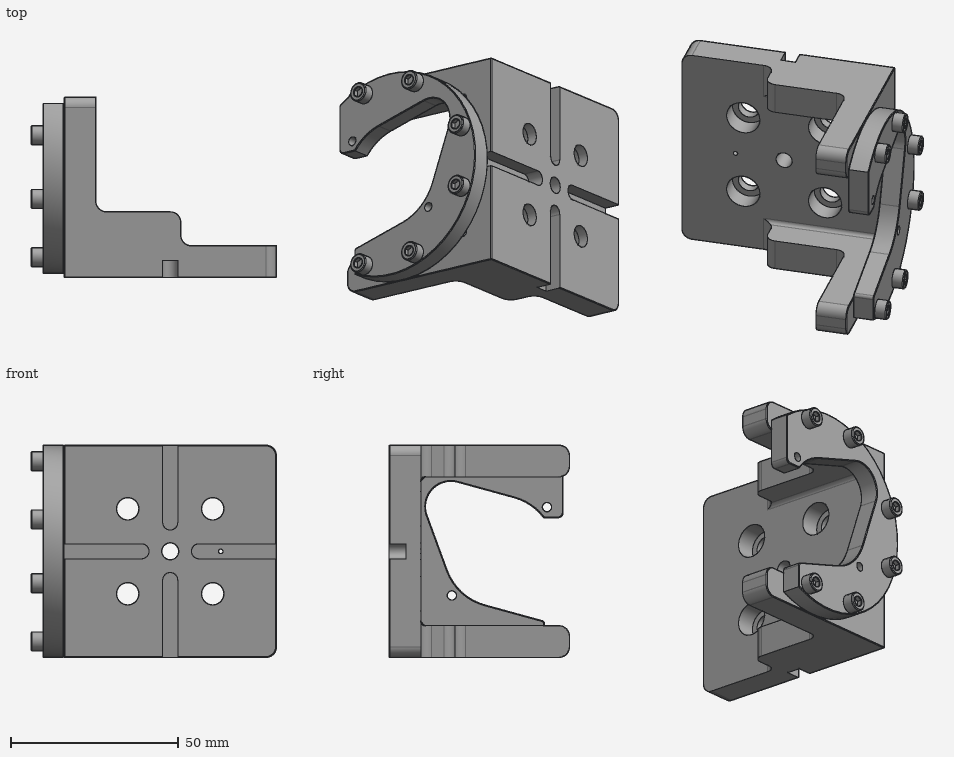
import cadquery as cq
import math

INCH = 25.4

bracket_size = 2.5 * INCH
bracket_depth = 2.125 * INCH
wall = 0.375 * INCH
step_x = 1.375 * INCH
step_y = 0.775 * INCH
corner_radius = 0.125 * INCH
pocket_corner_radius = 1.2
edge_chamfer = 0.25
mid_z = bracket_size / 2
center_x = bracket_size / 2

bolt_hole_diameter = 6.6
bolt_hole_offset = 0.5 * INCH
bolt_ledge_thickness = 0.125 * INCH
counterbore_diameter = 10.3
center_hole_diameter = 5.0
slot_width = 4.5
slot_depth = 0.2 * INCH
slot_tip_distance = 0.25 * INCH
pin_hole_diameter = 1.3
pin_hole_offset = 15.1

hook_thickness = 0.25 * INCH
disc_radius = 1.25 * INCH
disc_y = 1.3 * INCH
hook_upper_y = 2.05 * INCH
hook_lower_y = 46.5
hook_tip_z = 41.75
hook_upper_corner_radius = 1.6
hook_lower_corner_radius = 1.0
bore_radius = 16.6
relief_radius = 7.58
relief_distance = 19.7
cutout_angle = 42.6
hook_hole_diameter = 2.7
hook_hole_distance = 19.4
hook_hole_angle = -42.9

screw_circle_radius = 1.125 * INCH
screw_offset = 0.375 * INCH
screw_head_diameter = 0.226 * INCH
screw_head_height = 0.138 * INCH
socket_width = INCH * 7 / 64
socket_depth = 1.6
socket_rim_diameter = 3.2
socket_rim_depth = 0.2
head_chamfer = 0.3


def polar(distance, angle):
    """Point at an angle about the disc center, measured from -Y toward +Z, as (Y, Z)."""
    turn = math.radians(angle)
    return (disc_y - distance * math.cos(turn), mid_z + distance * math.sin(turn))


def shifted(point, distance, angle):
    """Point moved by a distance along an angle measured from -Y toward +Z."""
    turn = math.radians(angle)
    return (point[0] - distance * math.cos(turn), point[1] + distance * math.sin(turn))


def make_stepped_body():
    """Stepped L profile in the XY plane, full height in Z, opened up between the two ribs."""
    body = (
        cq.Workplane("XY")
        .polyline([
            (0, 0),
            (bracket_size, 0),
            (bracket_size, wall),
            (step_x, wall),
            (step_x, step_y),
            (wall, step_y),
            (wall, bracket_depth),
            (0, bracket_depth),
        ])
        .close()
        .extrude(bracket_size)
    )
    step_corners = cq.selectors.BoxSelector(
        (wall / 2, wall / 2, 0), (step_x + wall, step_y + wall, bracket_size)
    )
    body = body.edges("|Z").edges(step_corners).fillet(corner_radius)
    pocket = (
        cq.Workplane("XY")
        .box(bracket_size, bracket_depth, bracket_size - 2 * wall, centered=False)
        .edges("|X and <Y")
        .fillet(pocket_corner_radius)
        .translate((0, wall, wall))
    )
    body = body.cut(pocket)
    body = body.edges("|X and >Y").fillet(corner_radius)
    return body.edges("|Y and >X").fillet(corner_radius)


def cut_base_holes(body):
    bolt_points = [(sx * bolt_hole_offset, sz * bolt_hole_offset) for sx in (-1, 1) for sz in (-1, 1)]
    front = cq.Workplane("XZ", origin=(center_x, 0, mid_z))
    bolt_holes = front.pushPoints(bolt_points).circle(bolt_hole_diameter / 2).extrude(-bracket_depth)
    counterbores = (
        front.workplane(offset=-bolt_ledge_thickness)
        .pushPoints(bolt_points)
        .circle(counterbore_diameter / 2)
        .extrude(-bracket_depth)
    )
    center_hole = front.circle(center_hole_diameter / 2).extrude(-bracket_depth)
    pin_hole = front.center(pin_hole_offset, 0).circle(pin_hole_diameter / 2).extrude(-bracket_depth)
    return body.cut(bolt_holes).cut(counterbores).cut(center_hole).cut(pin_hole)


def cut_slots(body):
    """Four round-ended slots running from near the center out through each side."""
    arc_center = slot_tip_distance + slot_width / 2
    half = slot_width / 2
    slot = (
        cq.Workplane("XZ")
        .moveTo(bracket_size, -half)
        .lineTo(arc_center, -half)
        .threePointArc((slot_tip_distance, 0), (arc_center, half))
        .lineTo(bracket_size, half)
        .close()
        .extrude(-slot_depth)
    )
    for angle in (0, 90, 180, 270):
        placed = slot.rotate((0, 0, 0), (0, 1, 0), angle).translate((center_x, 0, mid_z))
        body = body.cut(placed)
    return body


def make_bracket():
    body = make_stepped_body()
    body = body.faces("<X or <Y").edges().chamfer(edge_chamfer)
    return cut_slots(cut_base_holes(body))


def make_hook_cutout():
    """Bore around the disc center, drawn out to a smaller round by two tangents, open toward +Y."""
    taper = math.degrees(math.asin((bore_radius - relief_radius) / relief_distance))
    upper_normal = cutout_angle + 90 - taper
    side_normal = cutout_angle - 90 + taper
    lower_normal = upper_normal - 180
    slope = math.radians(90 - upper_normal)
    relief_center = polar(relief_distance, cutout_angle)

    tip_height = hook_tip_z - mid_z
    tip_y = disc_y + math.sqrt(bore_radius**2 - tip_height**2)
    tip_angle = 180 - math.degrees(math.asin(tip_height / bore_radius))
    lower_tangent = polar(bore_radius, lower_normal)
    lower_run = hook_lower_y - lower_tangent[0]
    lower_corner = (hook_lower_y, lower_tangent[1] + lower_run * math.tan(slope))
    outside_y = bracket_depth + wall
    return (
        cq.Workplane("YZ")
        .moveTo(outside_y, hook_tip_z)
        .lineTo(tip_y, hook_tip_z)
        .threePointArc(polar(bore_radius, (tip_angle + upper_normal) / 2), polar(bore_radius, upper_normal))
        .lineTo(*shifted(relief_center, relief_radius, upper_normal))
        .threePointArc(
            shifted(relief_center, relief_radius, cutout_angle),
            shifted(relief_center, relief_radius, side_normal),
        )
        .lineTo(*polar(bore_radius, side_normal))
        .threePointArc(polar(bore_radius, (side_normal + lower_normal) / 2), lower_tangent)
        .lineTo(*lower_corner)
        .lineTo(hook_lower_y, 0)
        .lineTo(outside_y, 0)
        .close()
        .extrude(-hook_thickness)
    )


def make_hook():
    disc = cq.Workplane("YZ", origin=(0, disc_y, mid_z)).circle(disc_radius).extrude(-hook_thickness)
    trim = (
        cq.Workplane("XY")
        .box(hook_thickness, hook_upper_y, bracket_size, centered=False)
        .translate((-hook_thickness, 0, 0))
    )
    hook = disc.intersect(trim).cut(make_hook_cutout())
    upper_corner = cq.selectors.NearestToPointSelector((-hook_thickness / 2, hook_upper_y, hook_tip_z))
    lower_corner = cq.selectors.NearestToPointSelector((-hook_thickness / 2, hook_lower_y, wall))
    hook = hook.edges("|X").edges(upper_corner).fillet(hook_upper_corner_radius)
    hook = hook.edges("|X").edges(lower_corner).fillet(hook_lower_corner_radius)
    hook = hook.faces("<X or >X").edges().chamfer(edge_chamfer)
    holes = (
        cq.Workplane("YZ")
        .pushPoints([polar(hook_hole_distance, hook_hole_angle + turn) for turn in (0, 180)])
        .circle(hook_hole_diameter / 2)
        .extrude(-hook_thickness)
    )
    return hook.cut(holes)


def make_screw(y, z):
    """Socket cap head seated on the outer face of the hook."""
    base = cq.Workplane("YZ", origin=(-hook_thickness, y, z))
    head = base.circle(screw_head_diameter / 2).extrude(-screw_head_height)
    head = head.faces("<X").edges().chamfer(head_chamfer)
    top = base.workplane(offset=-screw_head_height)
    rim = top.circle(socket_rim_diameter / 2).extrude(socket_rim_depth)
    socket_corners = socket_width / math.cos(math.radians(30))
    socket = top.transformed(rotate=(0, 0, 90)).polygon(6, socket_corners).extrude(socket_depth)
    return head.cut(rim).cut(socket)


bracket = make_bracket()
hook = make_hook()

screw_reach = math.sqrt(screw_circle_radius**2 - screw_offset**2)
screw_points = [(sy * screw_offset, sz * screw_reach) for sy in (-1, 1) for sz in (-1, 1)]
screw_points += [(-screw_reach, sz * screw_offset) for sz in (-1, 1)]
screws = [make_screw(disc_y + y, mid_z + z) for y, z in screw_points]

result = cq.Compound.makeCompound([
    bracket.val(),
    hook.val(),
    *[screw.val() for screw in screws],
])